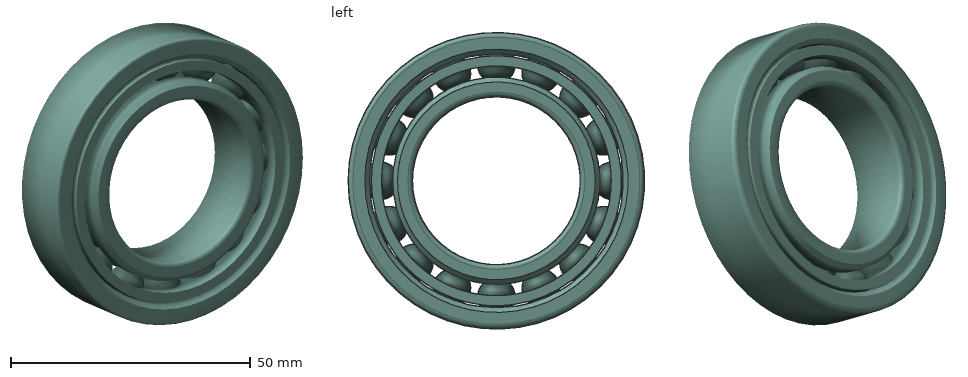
import cadquery as cq
import math


width = 14.0
outer_radius = 31.0
bore_radius = 17.5
front_face = -width / 2
back_face = width / 2
front_fillet = 1.0
back_fillet = 0.6
bore_fillet = 1.0

ball_count = 16
ball_spacing = 360 / ball_count
ball_radius = 3.95
pitch_radius = (outer_radius + bore_radius) / 2

outer_land_radius = 26.5
outer_chamfer = 1.0

inner_land_radius = 21.65
inner_chamfer = 1.0

cage_outer_radius = 26.1
cage_inner_radius = 24.0
cage_setback = 0.25
cage_width = width - 2 * cage_setback


def revolve_about_x(outline):
    """Turn a closed outline, drawn as (x, radius) points, fully around the X axis."""
    return outline.close().revolve(360, (0, 0, 0), (1, 0, 0))


def groove_half_width(land_radius):
    """Half the width of the ball groove where it meets a cylindrical land."""
    return math.sqrt(ball_radius**2 - (land_radius - pitch_radius) ** 2)


def make_outer_ring():
    groove = groove_half_width(outer_land_radius)
    outline = (
        cq.Workplane("XY")
        .moveTo(front_face, outer_land_radius + outer_chamfer)
        .lineTo(front_face + outer_chamfer, outer_land_radius)
        .lineTo(-groove, outer_land_radius)
        .threePointArc((0, pitch_radius + ball_radius), (groove, outer_land_radius))
        .lineTo(back_face - outer_chamfer, outer_land_radius)
        .lineTo(back_face, outer_land_radius + outer_chamfer)
        .lineTo(back_face, outer_radius - back_fillet)
        .radiusArc((back_face - back_fillet, outer_radius), -back_fillet)
        .lineTo(front_face + front_fillet, outer_radius)
        .radiusArc((front_face, outer_radius - front_fillet), -front_fillet)
    )
    return revolve_about_x(outline)


def make_inner_ring():
    groove = groove_half_width(inner_land_radius)
    outline = (
        cq.Workplane("XY")
        .moveTo(front_face, inner_land_radius - inner_chamfer)
        .lineTo(front_face + inner_chamfer, inner_land_radius)
        .lineTo(-groove, inner_land_radius)
        .threePointArc((0, pitch_radius - ball_radius), (groove, inner_land_radius))
        .lineTo(back_face - inner_chamfer, inner_land_radius)
        .lineTo(back_face, inner_land_radius - inner_chamfer)
        .lineTo(back_face, bore_radius + bore_fillet)
        .radiusArc((back_face - bore_fillet, bore_radius), bore_fillet)
        .lineTo(front_face + bore_fillet, bore_radius)
        .radiusArc((front_face, bore_radius + bore_fillet), bore_fillet)
    )
    return revolve_about_x(outline)


def make_caged_balls():
    """Plain cage band with the balls fused into it, as one solid."""
    caged_balls = (
        cq.Workplane("YZ", origin=(-cage_width / 2, 0, 0))
        .circle(cage_outer_radius)
        .circle(cage_inner_radius)
        .extrude(cage_width)
    )
    for index in range(ball_count):
        ball = cq.Workplane("XY").sphere(ball_radius).translate((0, 0, pitch_radius))
        caged_balls = caged_balls.union(ball.rotate((0, 0, 0), (1, 0, 0), index * ball_spacing))
    return caged_balls


outer_ring = make_outer_ring()
inner_ring = make_inner_ring()
caged_balls = make_caged_balls()

result = cq.Compound.makeCompound([outer_ring.val(), inner_ring.val(), caged_balls.solids().val()])